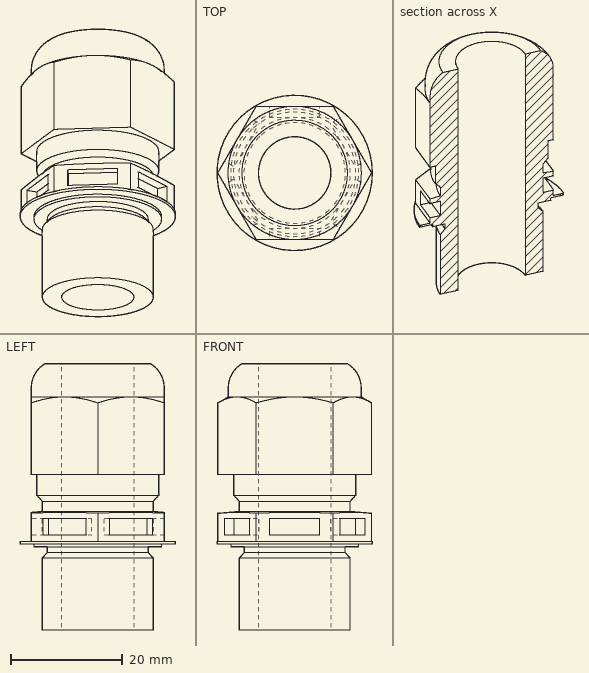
import cadquery as cq
import math


bore_radius = 6.5
thread_radius = 10.0
thread_height = 13.0
neck_radius = 9.1
neck_bottom = 14.0

ring_radius = 11.5
ring_bottom = 15.0
flange_radius = 14.0
flange_bottom = 15.5
flange_top = 16.0

across_flats = 24.0
flat_distance = across_flats / 2
corner_radius = flat_distance / math.cos(math.pi / 6)
side_count = 6

body_cone_top = 21.4
body_cone_angle = math.radians(5)

pocket_width = 9.0
pocket_height = 3.0
pocket_depth = 2.0
pocket_center_z = 18.65

shank_radius = 10.0
shank_top = 23.2
collar_radius = 11.0
collar_bottom = 24.3

nut_bottom = 28.0
nut_top = 42.0
nut_chamfer_angle = math.radians(30)
dome_bottom = 43.6
dome_top = 48.0
dome_top_radius = 9.5


def disc(radius, bottom, top):
    return cq.Workplane("XY").workplane(offset=bottom).circle(radius).extrude(top - bottom)


def hexagon(bottom, top):
    blank = cq.Workplane("XY").workplane(offset=bottom)
    return blank.polygon(side_count, 2 * corner_radius).extrude(top - bottom)


def coned_hexagon(bottom, top, cone_radius, cone_angle):
    """Hexagon whose top is a cone, falling at the given angle from a flat circle to the corners."""
    corner_top = top - (corner_radius - cone_radius) * math.tan(cone_angle)
    envelope = (
        cq.Workplane("XZ")
        .moveTo(0, bottom)
        .lineTo(corner_radius, bottom)
        .lineTo(corner_radius, corner_top)
        .lineTo(cone_radius, top)
        .lineTo(0, top)
        .close()
        .revolve(360, (0, 0), (0, 1))
    )
    return hexagon(bottom, top).intersect(envelope)


def threaded_end():
    return (
        cq.Workplane("XZ")
        .lineTo(thread_radius, 0)
        .lineTo(thread_radius, thread_height)
        .lineTo(neck_radius, neck_bottom)
        .lineTo(neck_radius, ring_bottom)
        .lineTo(0, ring_bottom)
        .close()
        .revolve(360, (0, 0), (0, 1))
    )


def shank_and_collar():
    return (
        cq.Workplane("XZ")
        .moveTo(0, flange_top)
        .lineTo(shank_radius, flange_top)
        .lineTo(shank_radius, shank_top)
        .lineTo(collar_radius, collar_bottom)
        .lineTo(collar_radius, nut_bottom)
        .lineTo(0, nut_bottom)
        .close()
        .revolve(360, (0, 0), (0, 1))
    )


def body_hexagon():
    body = coned_hexagon(flange_top, body_cone_top, shank_radius, body_cone_angle)
    pocket = (
        cq.Workplane("XY")
        .box(pocket_width, pocket_depth, pocket_height)
        .translate((0, pocket_depth / 2 - flat_distance, pocket_center_z))
    )
    for side in range(side_count):
        body = body.cut(pocket.rotate((0, 0, 0), (0, 0, 1), side * 360 / side_count))
    return body


def cap_nut():
    return coned_hexagon(nut_bottom, nut_top, flat_distance, nut_chamfer_angle)


def dome():
    """Rim as wide as the flats, then an arc that leaves it straight up and ends at the top flat."""
    return (
        cq.Workplane("XZ")
        .moveTo(0, nut_top)
        .lineTo(flat_distance, nut_top)
        .lineTo(flat_distance, dome_bottom)
        .tangentArcPoint((dome_top_radius, dome_top), relative=False)
        .lineTo(0, dome_top)
        .close()
        .revolve(360, (0, 0), (0, 1))
    )


gland = (
    threaded_end()
    .union(disc(ring_radius, ring_bottom, flange_bottom))
    .union(disc(flange_radius, flange_bottom, flange_top))
    .union(shank_and_collar())
    .union(body_hexagon())
    .union(cap_nut())
    .union(dome())
)
result = gland.cut(disc(bore_radius, 0, dome_top))